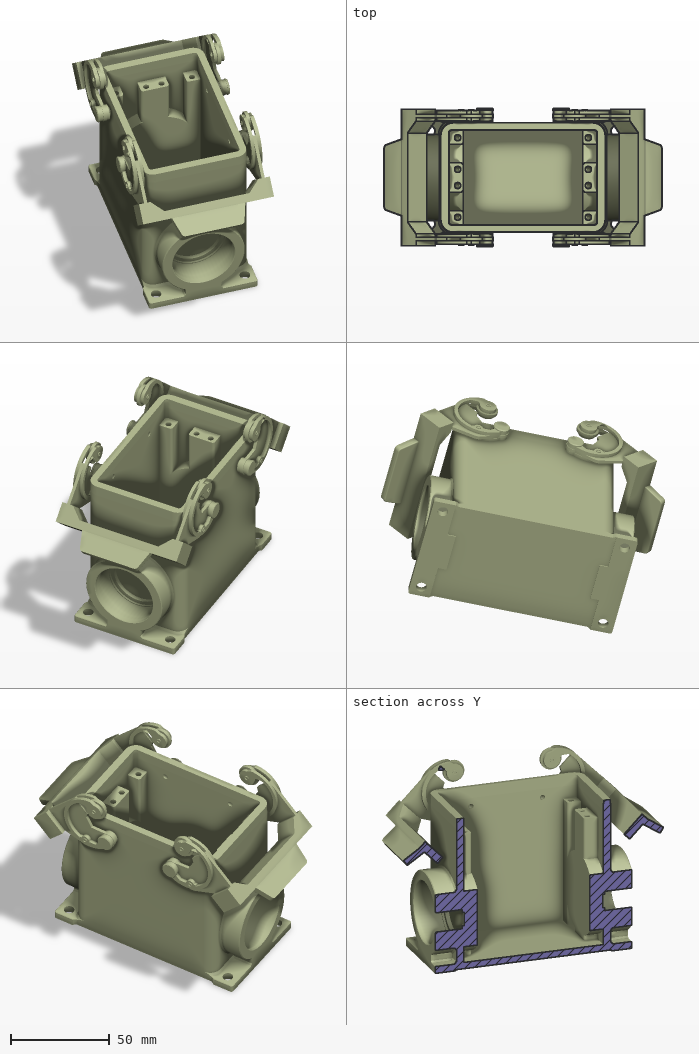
import cadquery as cq
import math

OVERALL_LENGTH = 140.5
OVERALL_WIDTH = 69.8
OVERALL_HEIGHT = 95.4

BODY_LENGTH = 83.2
BODY_WIDTH = 55.4
BODY_CORNER_RADIUS = 6.0
BODY_BOTTOM = 0.5
BODY_TOP = 82.0
RIM_HEIGHT = 5.5
RIM_TAPER = 1.5
CAVITY_LENGTH = 74.7
CAVITY_WIDTH = 47.8
CAVITY_CORNER_RADIUS = 1.4
CAVITY_FLOOR = 4.2

FOOT_THICKNESS = 4.0
FOOT_WIDTH = 57.3
FOOT_CORNER_RADIUS = 1.3
FOOT_INNER_END = 41.7
FOOT_SIDE_RUNOUT = 1.7
FOOT_TOP_CHAMFER = 0.3
FOOT_HOLE_RADIUS = 2.7
FOOT_HOLE_X = 47.2
FOOT_HOLE_Y = 23.5
SKIRT_SIZE = 1.1
SKIRT_ANGLE = 45.0

PORT_END = 53.0
PORT_CENTRE_Z = 27.5
PORT_RADIUS = 21.8
PORT_EDGE_CHAMFER = 0.4
PORT_ROOT_FLARE = 0.8
NECK_WIDTH = 18.8
NECK_FLARE = 0.8
BORE_STEPS = [(16.5, 14.5), (16.0, 1.1), (14.0, 2.1)]
BORE_MOUTH_CHAMFER = 0.3

COLUMN_DEPTH = 7.2
COLUMN_TOP = 70.0
COLUMN_CORNER_RADIUS = 1.3
CORNER_COLUMN_WIDTH = 7.2
MIDDLE_COLUMN_WIDTH = 14.8
COLUMN_HOLE_X = 33.0
COLUMN_HOLES_Y = (4.1, 20.1)
COLUMN_HOLE_RADIUS = 1.5
COLUMN_HOLE_DEPTH = 8.4

CHEEK_INNER = 28.5
CHEEK_OUTER = 33.9
PLATE_INNER = 30.2
PLATE_OUTER = 31.9
CAM_X = -28.5
CAM_RADIUS = 15.3
CAM_Z = OVERALL_HEIGHT - CAM_RADIUS
CAM_INNER_RADIUS = 13.3
HOOK_X = -26.1
HOOK_Z = 89.6
HOOK_PLATE_RADIUS = 5.6
HOOK_CHEEK_RADIUS = 4.4
RIVET_X = -31.2
RIVET_Z = 67.7
RIVET_BOSS_RADIUS = 2.4
RIVET_RADIUS = 1.3
RIVET_BORE_RADIUS = 0.8
RIVET_HEIGHT = 0.4

PIVOT_X = -19.2
PIVOT_Z = 72.0
PIVOT_PIN_RADIUS = 2.7
PIVOT_HUB_RADIUS = 4.0
PIVOT_CAP_RADIUS = 4.2
PIVOT_CAP_CHAMFER = 0.4
PIVOT_HOLE_RADIUS = 1.4
PIVOT_HOLE_DEPTH = 1.4

HANDLE_WIDTH = 69.1
HANDLE_THICKNESS = 10.4
HANDLE_DEPTH = 13.8
HANDLE_CUT_DEPTH = 6.0
PLATE_ARM_LENGTH = 20.8
PLATE_ARM_OVERRUN = 1.1
PLATE_END_WIDTH = 10.5
TAB_ANGLE = 33.0
TAB_THICKNESS = 3.7
TAB_ROOT_WIDTH = 38.8
TAB_TIP_WIDTH = 32.3
TAB_CORNER_RADIUS = 2.0
TAB_EDGE_RADIUS = 0.5
TAB_OVERLAP = 2.1

DIAGONAL = math.sqrt(0.5)
ARM_TANGENT = (CAM_X - CAM_RADIUS * DIAGONAL, CAM_Z + CAM_RADIUS * DIAGONAL)


def along(point, distance, down_right):
    """Move an XZ point along the arm: down to the right, or down to the left."""
    side = DIAGONAL if down_right else -DIAGONAL
    return (point[0] + side * distance, point[1] - DIAGONAL * distance)


HANDLE_INNER_TOP = along(ARM_TANGENT, PLATE_ARM_LENGTH, False)
HANDLE_OUTER_TOP = along(HANDLE_INNER_TOP, HANDLE_THICKNESS, False)
HANDLE_OUTER_LOW = along(HANDLE_OUTER_TOP, HANDLE_DEPTH, True)
HANDLE_INNER_LOW = along(HANDLE_INNER_TOP, HANDLE_DEPTH, True)
PLATE_TIP = along(ARM_TANGENT, -PLATE_ARM_OVERRUN, False)
PLATE_END = along(PLATE_TIP, PLATE_END_WIDTH, True)


def box(x_range, y_range, z_range):
    """Box between the given pairs of limits."""
    size = [high - low for low, high in (x_range, y_range, z_range)]
    corner = (x_range[0], y_range[0], z_range[0])
    return cq.Workplane("XY").box(*size, centered=False).translate(corner)


def rounded_block(length, width, radius, bottom, top):
    """Upright block with rounded vertical corners, centred on the Z axis."""
    block = cq.Workplane("XY", origin=(0, 0, bottom)).rect(length, width).extrude(top - bottom)
    return block.edges("|Z").fillet(radius)


def with_mirror(shape, plane):
    return shape.union(shape.mirror(plane))


def side_plane(distance):
    """Work plane facing -Y at the given distance in front of the part's middle."""
    return cq.Workplane("XZ", origin=(0, -distance, 0))


def side_disc(x, z, radius, inner, outer):
    return side_plane(inner).center(x, z).circle(radius).extrude(outer - inner)


def tapered_block(length, width, radius, bottom, taper):
    """Rounded block up to the body top, straight below the rim and tapered along it."""
    lower = rounded_block(length, width, radius, bottom, BODY_TOP - RIM_HEIGHT)
    return lower.faces(">Z").wires().toPending().workplane().extrude(RIM_HEIGHT, taper=taper)


def body():
    return tapered_block(BODY_LENGTH, BODY_WIDTH, BODY_CORNER_RADIUS, BODY_BOTTOM, RIM_TAPER)


def cavity():
    return tapered_block(
        CAVITY_LENGTH, CAVITY_WIDTH, CAVITY_CORNER_RADIUS, CAVITY_FLOOR, -RIM_TAPER
    )


def port_solid():
    """Port at -X: round stub, neck down to the foot, and flared root."""
    length = PORT_END - CAVITY_LENGTH / 2 + COLUMN_DEPTH
    plane = cq.Workplane("YZ", origin=(-PORT_END, 0, PORT_CENTRE_Z))
    stub = plane.circle(PORT_RADIUS).extrude(length)
    stub = stub.faces("<X").edges().chamfer(PORT_EDGE_CHAMFER)
    flare_start = BODY_LENGTH / 2 + PORT_ROOT_FLARE
    flare = (
        cq.Workplane("YZ", origin=(-flare_start, 0, PORT_CENTRE_Z))
        .circle(PORT_RADIUS)
        .workplane(offset=PORT_ROOT_FLARE)
        .circle(PORT_RADIUS + PORT_ROOT_FLARE)
        .loft()
    )
    half_neck = NECK_WIDTH / 2
    neck_outline = [
        (-half_neck - NECK_FLARE, 0),
        (-half_neck - NECK_FLARE, FOOT_THICKNESS),
        (-half_neck, FOOT_THICKNESS + NECK_FLARE),
        (-half_neck, PORT_CENTRE_Z),
        (half_neck, PORT_CENTRE_Z),
        (half_neck, FOOT_THICKNESS + NECK_FLARE),
        (half_neck + NECK_FLARE, FOOT_THICKNESS),
        (half_neck + NECK_FLARE, 0),
    ]
    neck = cq.Workplane("YZ", origin=(-PORT_END, 0, 0)).polyline(neck_outline).close()
    return stub.union(flare).union(neck.extrude(PORT_END - CAVITY_LENGTH / 2))


def port_bore():
    """Stepped blind bore of the port at -X."""
    mouth_radius = BORE_STEPS[0][0]
    bore = (
        cq.Workplane("YZ", origin=(-PORT_END, 0, PORT_CENTRE_Z))
        .circle(mouth_radius + BORE_MOUTH_CHAMFER)
        .workplane(offset=BORE_MOUTH_CHAMFER)
        .circle(mouth_radius)
        .loft()
    )
    start = -PORT_END
    for radius, length in BORE_STEPS:
        step = cq.Workplane("YZ", origin=(start, 0, PORT_CENTRE_Z)).circle(radius).extrude(length)
        bore = bore.union(step)
        start += length
    return bore


def foot():
    """Foot plate at -X with two screw holes, running out into the long sides."""
    half_width = FOOT_WIDTH / 2
    plate = box((-PORT_END, -FOOT_INNER_END), (-half_width, half_width), (0, FOOT_THICKNESS))
    plate = plate.edges("|Z and <X").fillet(FOOT_CORNER_RADIUS)
    plate = plate.faces(">Z").edges("not >X").chamfer(FOOT_TOP_CHAMFER)
    half_body = BODY_WIDTH / 2
    runout_end = FOOT_SIDE_RUNOUT - FOOT_INNER_END
    wall_end = BODY_CORNER_RADIUS - BODY_LENGTH / 2
    outline = [
        (-FOOT_INNER_END, -half_width),
        (runout_end, -half_body),
        (wall_end, -half_body),
        (wall_end, half_body),
        (runout_end, half_body),
        (-FOOT_INNER_END, half_width),
    ]
    under_corners = cq.Workplane("XY", origin=(0, 0, BODY_BOTTOM)).polyline(outline).close()
    under_corners = under_corners.extrude(FOOT_THICKNESS - BODY_BOTTOM)
    holes = (
        cq.Workplane("XY")
        .pushPoints([(-FOOT_HOLE_X, side * FOOT_HOLE_Y) for side in (-1, 1)])
        .circle(FOOT_HOLE_RADIUS)
        .extrude(FOOT_THICKNESS)
    )
    return plate.union(under_corners).cut(holes)


def skirt():
    """Slope around the foot of the walls, trimmed flush with the long sides."""
    base = rounded_block(
        BODY_LENGTH + 2 * SKIRT_SIZE,
        BODY_WIDTH + 2 * SKIRT_SIZE,
        BODY_CORNER_RADIUS + SKIRT_SIZE,
        BODY_BOTTOM,
        FOOT_THICKNESS,
    )
    upper = base.faces(">Z").wires().toPending().workplane()
    slope = upper.extrude(SKIRT_SIZE, taper=SKIRT_ANGLE, combine=False)
    half_body = BODY_WIDTH / 2
    trim = box((-PORT_END, PORT_END), (-half_body, half_body), (0, BODY_TOP))
    return slope.intersect(trim)


def columns():
    """Three screw columns against the cavity wall at -X."""
    outer = -CAVITY_LENGTH / 2
    half_cavity = CAVITY_WIDTH / 2
    half_middle = MIDDLE_COLUMN_WIDTH / 2
    height = (CAVITY_FLOOR, COLUMN_TOP)
    reach = (outer, outer + COLUMN_DEPTH)
    corner = box(reach, (half_cavity - CORNER_COLUMN_WIDTH, half_cavity), height)
    corner = corner.edges("|Z and >X and <Y").fillet(COLUMN_CORNER_RADIUS)
    middle = box(reach, (-half_middle, half_middle), height)
    middle = middle.edges("|Z and >X").fillet(COLUMN_CORNER_RADIUS)
    return with_mirror(corner, "XZ").union(middle)


def pointed_hole(radius, depth, origin, direction):
    """Drilled hole whose bottom is a 45 degree cone; depth is the straight part."""
    base = cq.Vector(*origin)
    way = cq.Vector(*direction)
    shank = cq.Solid.makeCylinder(radius, depth, base, way)
    point = cq.Solid.makeCone(radius, 0, radius, base + way * depth, way)
    return cq.Workplane(shank.fuse(point))


def column_holes():
    holes = cq.Workplane("XY")
    for y in COLUMN_HOLES_Y:
        mouth = (-COLUMN_HOLE_X, y, COLUMN_TOP)
        holes = holes.add(pointed_hole(COLUMN_HOLE_RADIUS, COLUMN_HOLE_DEPTH, mouth, (0, 0, -1)))
    return with_mirror(holes.combine(), "XZ")


def pivot_holes():
    """Pointed holes from the cavity into the pivot pins at -X."""
    mouth = (PIVOT_X, CAVITY_WIDTH / 2, PIVOT_Z)
    return with_mirror(pointed_hole(PIVOT_HOLE_RADIUS, PIVOT_HOLE_DEPTH, mouth, (0, 1, 0)), "XZ")


def housing():
    """Body with feet, ports, skirt and columns; the ports reach into the cavity."""
    hollow = cavity()
    ends = with_mirror(port_solid().union(foot()), "YZ")
    shell = body().union(skirt())
    inner_ports = ends.intersect(hollow)
    shell = shell.union(ends).cut(hollow).union(inner_ports)
    shell = shell.union(with_mirror(columns(), "YZ"))
    holes = port_bore().union(column_holes()).union(pivot_holes())
    return shell.cut(with_mirror(holes, "YZ"))


def cheek(inner, outer):
    """C-shaped layer: cam ring from the hook round to the pivot."""
    thickness = outer - inner
    ring = side_plane(inner).center(CAM_X, CAM_Z).circle(CAM_RADIUS).circle(CAM_INNER_RADIUS)
    ring = ring.extrude(thickness)
    opening = [
        (CAM_X, CAM_Z),
        (CAM_X, CAM_Z + 2 * CAM_RADIUS),
        (CAM_X + 2 * CAM_RADIUS, CAM_Z + 2 * CAM_RADIUS),
        (CAM_X + 2 * CAM_RADIUS, PIVOT_Z),
        (PIVOT_X, PIVOT_Z),
    ]
    ring = ring.cut(side_plane(inner).polyline(opening).close().extrude(thickness))
    bridge = [
        (-35.0, 91.7),
        (-31.5, 91.6),
        (HOOK_X, HOOK_Z - HOOK_CHEEK_RADIUS),
        (HOOK_X, HOOK_Z + HOOK_CHEEK_RADIUS),
        (CAM_X, OVERALL_HEIGHT),
    ]
    bridge = side_plane(inner).polyline(bridge).close().extrude(thickness)
    toe = [
        (-34.5, 68.7),
        (-33.2, 68.7),
        (-32.6, 69.4),
        (-30.0, 69.4),
        (-28.5, 67.7),
        (-25.0, 67.7),
        (-22.8, 69.8),
        (PIVOT_X, PIVOT_Z),
        (PIVOT_X, PIVOT_Z - PIVOT_HUB_RADIUS),
        (-23.9, 65.6),
        (-28.5, 65.2),
        (-33.7, 66.7),
    ]
    toe = side_plane(inner).polyline(toe).close().extrude(thickness)
    hook = side_disc(HOOK_X, HOOK_Z, HOOK_CHEEK_RADIUS, inner, outer)
    boss = side_disc(RIVET_X, RIVET_Z, RIVET_BOSS_RADIUS, inner, outer)
    hub = side_disc(PIVOT_X, PIVOT_Z, PIVOT_HUB_RADIUS, inner, outer)
    return ring.union(bridge).union(toe).union(hook).union(boss).union(hub)


def lever_plate():
    """Flat plate between the two cheeks, reaching from the handle to hook and pivot."""
    outline = [
        HANDLE_INNER_TOP,
        PLATE_TIP,
        PLATE_END,
        (-31.9, 81.8),
        (-28.8, 76.1),
        (PIVOT_X, PIVOT_Z + PIVOT_HUB_RADIUS),
        (PIVOT_X, PIVOT_Z - PIVOT_HUB_RADIUS),
        (-25.7, 64.6),
        (-30.0, 62.5),
        (-32.2, 62.5),
        HANDLE_INNER_LOW,
    ]
    plate = side_plane(PLATE_INNER).polyline(outline).close().extrude(PLATE_OUTER - PLATE_INNER)
    hook = side_disc(HOOK_X, HOOK_Z, HOOK_PLATE_RADIUS, PLATE_INNER, PLATE_OUTER)
    return plate.union(hook)


def rivet(x, z, face, outward):
    """Raised hollow rivet head on a cheek face, pointing away from or towards the housing."""
    height = RIVET_HEIGHT if outward else -RIVET_HEIGHT
    head = side_plane(face).center(x, z).circle(RIVET_RADIUS).circle(RIVET_BORE_RADIUS)
    return head.extrude(height)


def pivot():
    """Pin standing on the housing wall, widened within the plate and capped outside the lever."""
    pin = side_disc(PIVOT_X, PIVOT_Z, PIVOT_PIN_RADIUS, BODY_WIDTH / 2, CHEEK_OUTER)
    hub = side_disc(PIVOT_X, PIVOT_Z, PIVOT_CAP_RADIUS, PLATE_INNER, PLATE_OUTER)
    cap = side_disc(PIVOT_X, PIVOT_Z, PIVOT_CAP_RADIUS, CHEEK_OUTER, OVERALL_WIDTH / 2)
    cap = cap.faces("<Y").edges().chamfer(PIVOT_CAP_CHAMFER)
    return pin.union(hub).union(cap)


def handle():
    """Square bar at 45 degrees, its inner part cut back between the side plates."""
    corners = [HANDLE_INNER_TOP, HANDLE_OUTER_TOP, HANDLE_OUTER_LOW, HANDLE_INNER_LOW]
    bar = side_plane(-HANDLE_WIDTH / 2).polyline(corners).close().extrude(HANDLE_WIDTH)
    face = cq.Plane(
        origin=(HANDLE_INNER_TOP[0], 0, HANDLE_INNER_TOP[1]),
        xDir=(0, 1, 0),
        normal=(1, 0, -1),
    )
    floor_half = CHEEK_INNER - HANDLE_CUT_DEPTH
    recess = [
        (-CHEEK_INNER, 0),
        (CHEEK_INNER, 0),
        (floor_half, -HANDLE_CUT_DEPTH),
        (-floor_half, -HANDLE_CUT_DEPTH),
    ]
    return bar.cut(cq.Workplane(face).polyline(recess).close().extrude(HANDLE_DEPTH))


def tab():
    """Thin finger tab sloping down from the outer edge of the handle."""
    slope = math.radians(TAB_ANGLE)
    length = (OVERALL_LENGTH / 2 + HANDLE_OUTER_TOP[0]) / math.cos(slope)
    face = cq.Plane(
        origin=(HANDLE_OUTER_TOP[0], 0, HANDLE_OUTER_TOP[1]),
        xDir=(0, 1, 0),
        normal=(-math.sin(slope), 0, math.cos(slope)),
    )
    outline = [
        (-TAB_ROOT_WIDTH / 2, -TAB_OVERLAP),
        (-TAB_ROOT_WIDTH / 2, 0),
        (-TAB_TIP_WIDTH / 2, length),
        (TAB_TIP_WIDTH / 2, length),
        (TAB_ROOT_WIDTH / 2, 0),
        (TAB_ROOT_WIDTH / 2, -TAB_OVERLAP),
    ]
    blade = cq.Workplane(face).polyline(outline).close().extrude(-TAB_THICKNESS)
    normal = cq.selectors.ParallelDirSelector(face.zDir)
    blade = blade.edges(normal).edges("<X").fillet(TAB_CORNER_RADIUS)
    underside = cq.selectors.DirectionMinMaxSelector(face.zDir, directionMax=False)
    return blade.faces(underside).edges().fillet(TAB_EDGE_RADIUS)


def lever():
    """Complete lever at -X."""
    side = (
        cheek(CHEEK_INNER, PLATE_INNER)
        .union(cheek(PLATE_OUTER, CHEEK_OUTER))
        .union(lever_plate())
        .union(rivet(RIVET_X, RIVET_Z, CHEEK_OUTER, True))
        .union(rivet(HOOK_X, HOOK_Z, CHEEK_OUTER, True))
        .union(rivet(HOOK_X, HOOK_Z, CHEEK_INNER, False))
        .union(pivot())
    )
    return with_mirror(side, "XZ").union(handle()).union(tab())


result = housing().union(with_mirror(lever(), "YZ"))